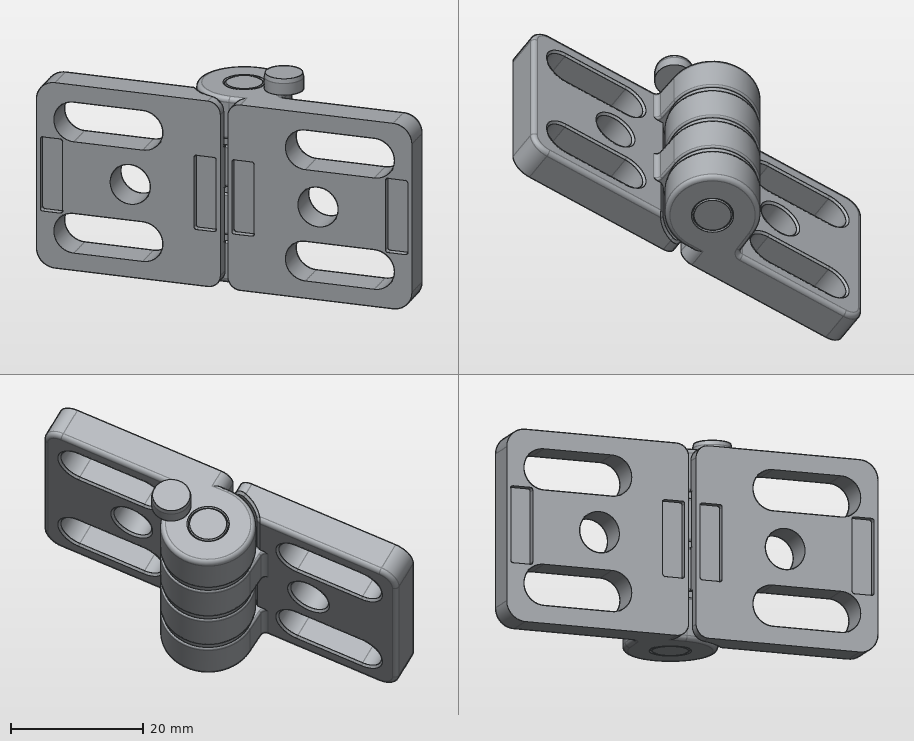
import cadquery as cq
import math

height = 30.0
half_width = 30.0
leaf_gap = 1.2
plate_thickness = 5.5
knuckle_radius = 7.2
axis_y = 9.5
rim_round = 0.75
outer_corner_radius = 3.0
inner_corner_radius = 2.0

knuckle_count = 4
washer_thickness = 1.0
washer_radius = 6.9
knuckle_height = (height - (knuckle_count - 1) * washer_thickness) / knuckle_count
pitch = knuckle_height + washer_thickness
side_draft = math.radians(2)
root_radius = 0.8
knuckle_edge_round = 0.35
clearance_radius = 7.5
clearance_chamfer = 0.4

pin_radius = 3.0
pin_chamfer = 0.2
knob_radius = 3.0
knob_height = 2.6
knob_x = 6.55
knob_y = 8.9
knob_taper_height = 0.7
knob_taper_inset = 0.15

hole_diameter = 6.4
hole_chamfer = 0.35
hole_x = 15.0
slot_x = 18.5
slot_travel = 11.0
slot_length = slot_travel + hole_diameter
slot_offset = 9.0
pocket_width = 3.55
pocket_height = 12.0
pocket_depth = 1.1
pocket_corner_radius = 0.4
pocket_margin = 0.65

mid_z = height / 2
inner_x = leaf_gap / 2


def axis_cylinder(radius, z_start, z_end):
    """Solid cylinder on the hinge axis."""
    return (
        cq.Workplane("XY", origin=(0, axis_y, z_start))
        .circle(radius)
        .extrude(z_end - z_start)
    )


def plate():
    """Flat part of the right leaf, with rounded corners and back edges."""
    body = cq.Workplane("XY", origin=(inner_x, 0, 0)).box(
        half_width - inner_x, plate_thickness, height, centered=False
    )
    body = body.edges("|Y and <X").fillet(inner_corner_radius)
    body = body.edges("|Y and >X").fillet(outer_corner_radius)
    return body.faces(">Y").edges().fillet(rim_round)


def knuckle(index):
    """One knuckle of the right leaf with its root, counted from the bottom."""
    bottom_y = axis_y - knuckle_radius
    tangent_x = knuckle_radius * math.cos(side_draft)
    tangent_y = axis_y + knuckle_radius * math.sin(side_draft)
    foot_x = tangent_x + (tangent_y - plate_thickness) * math.tan(side_draft)
    root_end_x = foot_x + 2 * root_radius
    body = (
        cq.Workplane("XY", origin=(0, 0, index * pitch))
        .moveTo(0, bottom_y)
        .threePointArc((-knuckle_radius, axis_y), (tangent_x, tangent_y))
        .lineTo(foot_x, plate_thickness)
        .lineTo(root_end_x, plate_thickness)
        .lineTo(root_end_x, bottom_y)
        .close()
        .extrude(knuckle_height)
    )
    foot_edge = cq.selectors.NearestToPointSelector(
        (foot_x, plate_thickness, index * pitch + knuckle_height / 2)
    )
    body = body.edges(foot_edge).fillet(root_radius)
    at_top = index == knuckle_count - 1
    top_round = rim_round if at_top else knuckle_edge_round
    body = body.faces(">Z").edges("not >X").fillet(top_round)
    return body.faces("<Z").edges("not >X").fillet(knuckle_edge_round)


def clear_neighbours(body):
    """Cut the room for the other leaf's knuckles; the lowest cut has a chamfered rim."""
    body = body.cut(axis_cylinder(clearance_radius, 0, pitch))
    rim = cq.selectors.BoxSelector(
        (inner_x, axis_y - clearance_radius - clearance_chamfer, -clearance_chamfer),
        (clearance_radius, plate_thickness - rim_round, inner_corner_radius),
    )
    body = body.edges(rim).chamfer(clearance_chamfer)
    upper_start = 2 * pitch - washer_thickness
    return body.cut(axis_cylinder(clearance_radius, upper_start, 3 * pitch))


def mounting_cuts():
    """Round hole and two slots through the plate, widened by a chamfer at the back."""
    front = cq.Workplane("XZ", origin=(0, 0, mid_z))
    back = cq.Workplane("XZ", origin=(0, plate_thickness, mid_z))
    hole_point = [(hole_x, 0)]
    slot_points = [(slot_x, -slot_offset), (slot_x, slot_offset)]
    wide = 2 * hole_chamfer
    cuts = front.pushPoints(hole_point).circle(hole_diameter / 2).extrude(-plate_thickness)
    cuts = cuts.union(
        front.pushPoints(slot_points).slot2D(slot_length, hole_diameter).extrude(-plate_thickness)
    )
    cuts = cuts.union(
        back.pushPoints(hole_point)
        .circle((hole_diameter + wide) / 2)
        .extrude(hole_chamfer, taper=45)
    )
    return cuts.union(
        back.pushPoints(slot_points)
        .slot2D(slot_length + wide, hole_diameter + wide)
        .extrude(hole_chamfer, taper=45)
    )


def pockets():
    """Shallow rectangles sunk into the front face near both side edges."""
    inset = pocket_margin + pocket_width / 2
    return (
        cq.Workplane("XZ", origin=(0, 0, mid_z))
        .pushPoints([(inner_x + inset, 0), (half_width - inset, 0)])
        .rect(pocket_width, pocket_height)
        .extrude(-pocket_depth)
        .edges("|Y")
        .fillet(pocket_corner_radius)
    )


def pin():
    """Hinge pin, chamfered at both ends and flush with the leaves."""
    return axis_cylinder(pin_radius, 0, height).faces("<Z or >Z").edges().chamfer(pin_chamfer)


def bore():
    """Pin hole, flared at both ends of the hinge."""
    flare = (
        cq.Workplane("XY", origin=(0, axis_y, 0))
        .circle(pin_radius + pin_chamfer)
        .extrude(pin_chamfer, taper=45)
    )
    top_flare = flare.mirror("XY", (0, 0, mid_z))
    return axis_cylinder(pin_radius, 0, height).union(flare).union(top_flare)


def leaf():
    """Right leaf, carrying the top knuckle and every second one below it."""
    body = clear_neighbours(plate())
    for index in range(1, knuckle_count, 2):
        body = body.union(knuckle(index), clean=True)
    return body.cut(bore()).cut(mounting_cuts()).cut(pockets())


def washer(index):
    z_start = index * pitch + knuckle_height
    ring = axis_cylinder(washer_radius, z_start, z_start + washer_thickness)
    return ring.cut(axis_cylinder(pin_radius, 0, height))


def knob():
    """Slightly tapered button standing on the top knuckle."""
    return (
        cq.Workplane("XY", origin=(knob_x, knob_y, height))
        .circle(knob_radius)
        .extrude(knob_height)
        .faces(">Z").edges()
        .chamfer(knob_taper_height, knob_taper_inset)
    )


right_leaf = leaf()
left_leaf = right_leaf.rotate((0, 0, mid_z), (0, 1, mid_z), 180)
washers = [washer(index) for index in range(knuckle_count - 1)]

result = cq.Compound.makeCompound(
    [right_leaf.val(), left_leaf.val(), pin().val(), knob().val()]
    + [ring.val() for ring in washers]
)